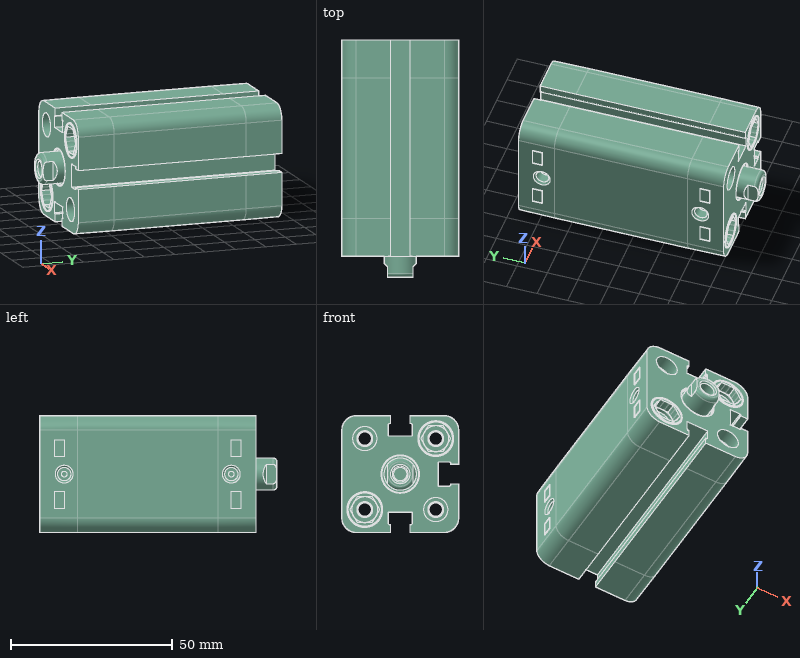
import cadquery as cq
import math


WIDTH = 36.3
BODY_LENGTH = 67.1
TOTAL_LENGTH = 73.6
CAP_LENGTH = 11.8
CORNER_RADIUS = 4.5
CAP_CORNER_RELIEF = 0.12

SLOT_MOUTH = 6.0
SLOT_INNER = 7.4
SLOT_LIP = 2.5
SLOT_DEPTH = 6.3
SLOT_LIP_CHAMFER = 0.3

SCREW_OFFSET = 11.0
THREAD_DIA = 4.92
THREAD_CORE_DIA = 4.13

COUNTERBORE_DIA = 7.5
COUNTERBORE_DEPTH = 4.5

SCREW_HOLE_DIA = 11.1
SCREW_HEAD_DIA = 10.8
SCREW_HEAD_CHAMFER = 0.25
HEX_ACROSS_FLATS = 8.0
HEX_DEPTH = 3.2
HEX_RELIEF_DIA = 8.2
SCREW_BORE_DIA = 8.0
SCREW_BORE_DEPTH = COUNTERBORE_DEPTH

ROD_DIA = 10.0
ROD_FILLET = 1.2
ROD_FLATS = 8.0
ROD_FLAT_LENGTH = 3.3
ROD_RECESS_DIA = 11.4
ROD_RECESS_DEPTH = 1.0
ROD_RECESS_CHAMFER = 0.25
ROD_THREAD_MOUTH_DIA = 6.0
ROD_THREAD_DEPTH = 8.0

PORT_OFFSET = 7.65
PORT_MOUTH_DIA = 5.5
PORT_THREAD_DIA = THREAD_CORE_DIA
PORT_THREAD_DEPTH = 4.0
PORT_ORIFICE_DIA = 1.75
PORT_ORIFICE_DEPTH = 6.0
LABEL_LENGTH = 3.2
LABEL_HEIGHT = 5.2
LABEL_DEPTH = 0.2
LABEL_END_OFFSET = 6.2
LABEL_SPACING = 16.0

HALF_WIDTH = WIDTH / 2
FRONT_Y = -BODY_LENGTH / 2
REAR_Y = BODY_LENGTH / 2
ROD_TIP_Y = REAR_Y - TOTAL_LENGTH


def turned(profile, x=0.0, z=0.0):
    """Solid of revolution about a line parallel to Y; the profile lists (radius, y) points."""
    return (
        cq.Workplane("XY")
        .polyline(profile)
        .close()
        .revolve(360, (0, 0, 0), (0, 1, 0))
        .translate((x, 0, z))
    )


def rounded_square(plane, corner_relief=0.0):
    """Square outline whose corner arcs may be flattened inwards by corner_relief at mid-arc."""
    straight = HALF_WIDTH - CORNER_RADIUS
    mid_arc = straight + (CORNER_RADIUS - corner_relief) / math.sqrt(2)
    return (
        plane.moveTo(straight, HALF_WIDTH)
        .threePointArc((mid_arc, mid_arc), (HALF_WIDTH, straight))
        .lineTo(HALF_WIDTH, -straight)
        .threePointArc((mid_arc, -mid_arc), (straight, -HALF_WIDTH))
        .lineTo(-straight, -HALF_WIDTH)
        .threePointArc((-mid_arc, -mid_arc), (-HALF_WIDTH, -straight))
        .lineTo(-HALF_WIDTH, straight)
        .threePointArc((-mid_arc, mid_arc), (-straight, HALF_WIDTH))
        .close()
    )


def barrel():
    length = BODY_LENGTH - 2 * CAP_LENGTH
    return rounded_square(cq.Workplane("XZ", origin=(0, length / 2, 0))).extrude(length)


def front_cap():
    """End cap whose rounded corners draw in slightly towards the outer face."""
    inner_outline = rounded_square(cq.Workplane("XZ", origin=(0, FRONT_Y + CAP_LENGTH, 0)))
    outer_plane = inner_outline.workplane(offset=CAP_LENGTH)
    return rounded_square(outer_plane, CAP_CORNER_RELIEF).loft(ruled=True)


def slot_cutter():
    """T-slot cutter for the +Z side, with chamfered edges under the lips."""
    lip_z = HALF_WIDTH - SLOT_LIP
    right_half = [
        (SLOT_MOUTH / 2, HALF_WIDTH),
        (SLOT_MOUTH / 2, lip_z),
        (SLOT_INNER / 2 - SLOT_LIP_CHAMFER, lip_z),
        (SLOT_INNER / 2, lip_z - SLOT_LIP_CHAMFER),
        (SLOT_INNER / 2, HALF_WIDTH - SLOT_DEPTH),
    ]
    left_half = [(-x, z) for x, z in reversed(right_half)]
    return (
        cq.Workplane("XZ", origin=(0, REAR_Y, 0))
        .polyline(right_half + left_half)
        .close()
        .extrude(BODY_LENGTH)
    )


def thread_cutter(entry_y, x, z):
    """Through core hole whose entry is countersunk to the thread diameter."""
    countersink = (THREAD_DIA - THREAD_CORE_DIA) / 2
    profile = [
        (0, entry_y),
        (THREAD_DIA / 2, entry_y),
        (THREAD_CORE_DIA / 2, entry_y + countersink),
        (THREAD_CORE_DIA / 2, REAR_Y),
        (0, REAR_Y),
    ]
    return turned(profile, x, z)


def front_cylinder(diameter, depth, x, z):
    return cq.Workplane("XZ", origin=(x, FRONT_Y + depth, z)).circle(diameter / 2).extrude(depth)


def counterbored_cutter(x, z):
    counterbore = front_cylinder(COUNTERBORE_DIA, COUNTERBORE_DEPTH, x, z)
    return counterbore.union(thread_cutter(FRONT_Y + COUNTERBORE_DEPTH, x, z))


def hex_screw_cutter(x, z):
    """Relieved socket, bore and thread of a hollow screw, with the groove around its head."""
    hex_corner_dia = HEX_ACROSS_FLATS / math.cos(math.pi / 6)
    socket = (
        cq.Workplane("XZ", origin=(x, FRONT_Y + HEX_DEPTH, z))
        .polygon(6, hex_corner_dia)
        .extrude(HEX_DEPTH)
    )
    relief = front_cylinder(HEX_RELIEF_DIA, HEX_DEPTH, x, z)
    bore = front_cylinder(SCREW_BORE_DIA, SCREW_BORE_DEPTH, x, z)
    thread = thread_cutter(FRONT_Y + SCREW_BORE_DEPTH, x, z)
    groove_profile = [
        (SCREW_HOLE_DIA / 2, FRONT_Y),
        (SCREW_HOLE_DIA / 2, FRONT_Y + SCREW_HEAD_CHAMFER),
        (SCREW_HEAD_DIA / 2, FRONT_Y + SCREW_HEAD_CHAMFER),
        (SCREW_HEAD_DIA / 2 - SCREW_HEAD_CHAMFER, FRONT_Y),
    ]
    return socket.union(relief).union(bore).union(thread).union(turned(groove_profile, x, z))


def rod_recess_cutter():
    radius = ROD_RECESS_DIA / 2
    profile = [
        (0, FRONT_Y),
        (radius + ROD_RECESS_CHAMFER, FRONT_Y),
        (radius, FRONT_Y + ROD_RECESS_CHAMFER),
        (radius, FRONT_Y + ROD_RECESS_DEPTH),
        (0, FRONT_Y + ROD_RECESS_DEPTH),
    ]
    return turned(profile)


def piston_rod():
    rod_length = FRONT_Y + ROD_RECESS_DEPTH - ROD_TIP_Y
    rod = (
        cq.Workplane("XZ", origin=(0, ROD_TIP_Y + rod_length, 0))
        .circle(ROD_DIA / 2)
        .extrude(rod_length)
        .faces("<Y")
        .edges()
        .fillet(ROD_FILLET)
    )
    flat_end_y = ROD_TIP_Y + ROD_FLAT_LENGTH
    flat_depth = (ROD_DIA - ROD_FLATS) / 2
    flat_profile = [
        (ROD_FLATS / 2, ROD_TIP_Y),
        (ROD_FLATS / 2, flat_end_y),
        (ROD_DIA / 2, flat_end_y + flat_depth),
        (ROD_DIA / 2, ROD_TIP_Y),
    ]
    flat = cq.Workplane("XY").polyline(flat_profile).close().extrude(ROD_DIA / 2, both=True)
    return rod.cut(flat).cut(flat.mirror("YZ"))


def rod_thread_cutter():
    mouth_depth = (ROD_THREAD_MOUTH_DIA - THREAD_DIA) / 2
    floor_y = ROD_TIP_Y + ROD_THREAD_DEPTH
    bottom_taper = (THREAD_DIA - THREAD_CORE_DIA) / 2
    profile = [
        (0, ROD_TIP_Y),
        (ROD_THREAD_MOUTH_DIA / 2, ROD_TIP_Y),
        (THREAD_DIA / 2, ROD_TIP_Y + mouth_depth),
        (THREAD_DIA / 2, floor_y - bottom_taper),
        (THREAD_CORE_DIA / 2, floor_y),
        (0, floor_y),
    ]
    return turned(profile)


def port_cutter(y):
    """Countersunk blind thread with a small orifice in its floor, entering from the -X side."""
    mouth_depth = (PORT_MOUTH_DIA - PORT_THREAD_DIA) / 2
    profile = [
        (0, 0),
        (0, PORT_MOUTH_DIA / 2),
        (mouth_depth, PORT_THREAD_DIA / 2),
        (PORT_THREAD_DEPTH, PORT_THREAD_DIA / 2),
        (PORT_THREAD_DEPTH, PORT_ORIFICE_DIA / 2),
        (PORT_ORIFICE_DEPTH, PORT_ORIFICE_DIA / 2),
        (PORT_ORIFICE_DEPTH, 0),
    ]
    return (
        cq.Workplane("XY")
        .polyline(profile)
        .close()
        .revolve(360, (0, 0, 0), (1, 0, 0))
        .translate((-HALF_WIDTH, y, 0))
    )


def label_pockets(y):
    return (
        cq.Workplane("YZ", origin=(-HALF_WIDTH, y, 0))
        .rarray(1, LABEL_SPACING, 1, 2)
        .rect(LABEL_LENGTH, LABEL_HEIGHT)
        .extrude(LABEL_DEPTH)
    )


cap = front_cap()
body = barrel().union(cap, clean=False).union(cap.mirror("XZ"), clean=False)

for slot_angle in (0, 90, 180):
    body = body.cut(slot_cutter().rotate((0, 0, 0), (0, 1, 0), slot_angle), clean=False)

for side in (-1, 1):
    body = body.cut(counterbored_cutter(side * SCREW_OFFSET, -side * SCREW_OFFSET), clean=False)
    body = body.cut(hex_screw_cutter(side * SCREW_OFFSET, side * SCREW_OFFSET), clean=False)
    body = body.cut(port_cutter(side * (REAR_Y - PORT_OFFSET)), clean=False)
    body = body.cut(label_pockets(side * (REAR_Y - LABEL_END_OFFSET)), clean=False)

body = body.cut(rod_recess_cutter(), clean=False).union(piston_rod(), clean=False)
result = body.cut(rod_thread_cutter(), clean=False)